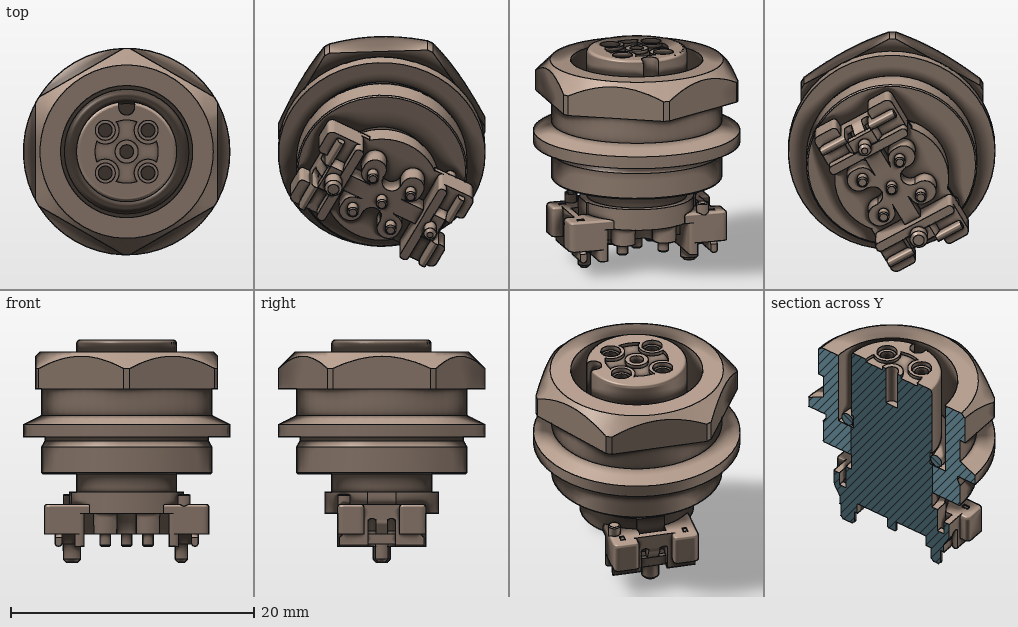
import cadquery as cq
import math

TOTAL_HEIGHT = 18.3
NUT_TOP = 17.31
NUT_BOTTOM = 14.27
FLANGE_CONE_TOP = 12.08
FLANGE_RIM_TOP = 11.33
FLANGE_BOTTOM = 10.32
NECK_BOTTOM = 10.0
COLLAR_TOP = 9.5
HOUSING_BOTTOM = 7.28
BASE_TOP = 5.78
BASE_BOTTOM = 4.03
BLOCK_TOP = 4.78
BLOCK_BOTTOM = 2.32
FOOT_BOTTOM = 1.32

NUT_ACROSS_FLATS = 14.97
FLANGE_DIAMETER = 17.0
FLANGE_RADIUS = FLANGE_DIAMETER / 2
NUT_CHAMFER = 1.37
BODY_RADIUS = 7.0
NECK_RADIUS = 6.72
BODY_CHAMFER = 0.11
SOCKET_RADIUS = 5.44
SOCKET_FLOOR = FLANGE_BOTTOM

INSERT_RADIUS = 4.12
INSERT_TOP_ROUND = 0.33
BASE_RADIUS = 4.68
BASE_FLAT_WIDTH = 2.35
KEY_RADIUS = 0.65
KEY_CENTER_Y = 3.66
CONTACT_OFFSET = 1.75
CONTACT_HOLE_RADIUS = 0.57
CONTACT_HOLE_DEPTH = 3.66
COUNTERBORE_RADIUS = 0.82
COUNTERBORE_DEPTH = 0.4
FACE_RECESS_RADIUS = 2.6
FACE_RECESS_DEPTH = 0.3
OUTER_BOSS_RADIUS = 1.13
CENTER_BOSS_RADIUS = 0.95
PILLAR_TOP_RADIUS = 0.97
PILLAR_STRETCH = 0.37
PILLAR_TAPER = 1.2
CONTACT_PIN_RADIUS = 0.44
CONTACT_PIN_CHAMFER = 0.11
WEB_WIDTH = 1.46
SCALLOP_RADIUS = CONTACT_OFFSET - PILLAR_TOP_RADIUS

BRACKET_WIDTH = 7.25
BLOCK_OUTER_X = -6.77
BLOCK_INNER_X = -3.04
BLOCK_CORNER_ROUND = 0.5
BLOCK_RECESS_ROUND = 0.35
BLOCK_TOP_ROUND = 0.25
RECESS_WIDTH = 2.93
PLATE_OUTER_X = -5.9
PLATE_INNER_X = -5.33
PLATE_WIDTH = 6.92
PLATE_TIP_ROUND = 0.27
PLATE_CORNER_CHAMFER = 0.27
INNER_WALL_OUTER_X = -4.25
INNER_WALL_INNER_X = -3.5
INNER_WALL_ROUND = 0.31
SLOT_WIDTH = 2.23
SLOT_TOP = 3.6
SLOT_ROUND = 0.27
PAD_BOTTOM = 1.5
PAD_FLANK_RUN = 0.42
PAD_LEDGE = 0.25
RIB_WIDTH = 0.95
RIB_TOP = 3.51
RIB_BEND_Z = 3.02
RIB_BEND_DEPTH = 0.16
RIB_ARC_RADIUS = 0.92
DIMPLE_LENGTH = 0.55
DIMPLE_WIDTH = 0.35
DIMPLE_DEPTH = 0.1
DIMPLE_Y = 2.65
PEG_X = 4.5
LEFT_PEG_RADIUS = 0.71
RIGHT_PEG_RADIUS = 0.51
PEG_CHAMFER = 0.25
POST_X = -4.72
POST_Y = 3.11
POST_RADIUS = 0.5
POST_TOP = 5.6
POST_CHAMFER = 0.1

RING_SECTION_RADIUS = 0.59
RING_INNER_RADIUS = 3.95
RING_RADIUS = RING_INNER_RADIUS + RING_SECTION_RADIUS
RING_TOP = SOCKET_FLOOR + 2 * RING_SECTION_RADIUS

OUTER_CONTACTS = [(sx * CONTACT_OFFSET, sy * CONTACT_OFFSET) for sx in (-1, 1) for sy in (-1, 1)]
ALL_CONTACTS = OUTER_CONTACTS + [(0, 0)]


def box(x0, x1, y0, y1, z0, z1):
    """Box between two opposite corners."""
    return cq.Workplane("XY").box(x1 - x0, y1 - y0, z1 - z0, centered=False).translate((x0, y0, z0))


def cylinders(points, radius, z0, z1):
    """Upright cylinders at the given points."""
    return cq.Workplane("XY").workplane(offset=z0).pushPoints(points).circle(radius).extrude(z1 - z0)


def revolved(profile):
    """Solid of revolution about Z from (radius, height) points."""
    return cq.Workplane("XZ").polyline(profile).close().revolve(360, (0, 0), (0, 1))


def make_nut_head():
    """Hexagonal head, flats facing +X and -X, with turned corners and a chamfered top."""
    hexagon = (
        cq.Workplane("XY")
        .workplane(offset=NUT_BOTTOM)
        .transformed(rotate=(0, 0, 30))
        .polygon(6, NUT_ACROSS_FLATS / math.cos(math.pi / 6))
        .extrude(NUT_TOP - NUT_BOTTOM)
    )
    turned = cylinders([(0, 0)], FLANGE_RADIUS, NUT_BOTTOM, NUT_TOP).faces(">Z").chamfer(NUT_CHAMFER)
    return hexagon.intersect(turned)


def make_housing():
    """Hexagonal head, threaded body, sealing flange and lower collar around a stepped bore."""
    body = revolved([
        (0, HOUSING_BOTTOM),
        (BODY_RADIUS - BODY_CHAMFER, HOUSING_BOTTOM),
        (BODY_RADIUS, HOUSING_BOTTOM + BODY_CHAMFER),
        (BODY_RADIUS, COLLAR_TOP),
        (NECK_RADIUS, NECK_BOTTOM),
        (NECK_RADIUS, FLANGE_BOTTOM),
        (FLANGE_RADIUS, FLANGE_BOTTOM),
        (FLANGE_RADIUS, FLANGE_RIM_TOP),
        (BODY_RADIUS, FLANGE_CONE_TOP),
        (BODY_RADIUS, NUT_BOTTOM),
        (0, NUT_BOTTOM),
    ])
    socket = cylinders([(0, 0)], SOCKET_RADIUS, SOCKET_FLOOR, NUT_TOP)
    insert_bore = cylinders([(0, 0)], INSERT_RADIUS, HOUSING_BOTTOM, SOCKET_FLOOR)
    return body.union(make_nut_head()).cut(socket).cut(insert_bore)


def make_sealing_ring():
    """Round-section ring lying on the socket floor, in the groove of the insert."""
    return (
        cq.Workplane("XZ")
        .center(RING_RADIUS, SOCKET_FLOOR + RING_SECTION_RADIUS)
        .circle(RING_SECTION_RADIUS)
        .revolve(360, (-RING_RADIUS, 0), (-RING_RADIUS, 1))
    )


def make_contact_core():
    """Round insert core with its base flange, ring groove, coding notch and socket face."""
    core = cylinders([(0, 0)], INSERT_RADIUS, BASE_BOTTOM, TOTAL_HEIGHT)
    core = core.faces(">Z").edges().fillet(INSERT_TOP_ROUND)
    base = cylinders([(0, 0)], BASE_RADIUS, BASE_BOTTOM, BASE_TOP)
    half_flat = BASE_FLAT_WIDTH / 2
    flats = box(-BASE_RADIUS, BASE_RADIUS, -half_flat, half_flat, BASE_BOTTOM, BASE_TOP)
    core = core.union(base).union(flats)

    ring_groove = (
        cylinders([(0, 0)], SOCKET_RADIUS, SOCKET_FLOOR, RING_TOP)
        .cut(cylinders([(0, 0)], RING_INNER_RADIUS, SOCKET_FLOOR, RING_TOP))
    )
    core = core.cut(ring_groove)

    notch = cylinders([(0, KEY_CENTER_Y)], KEY_RADIUS, RING_TOP, TOTAL_HEIGHT)
    notch_mouth = box(-KEY_RADIUS, KEY_RADIUS, KEY_CENTER_Y, BASE_RADIUS, RING_TOP, TOTAL_HEIGHT)
    core = core.cut(notch).cut(notch_mouth)

    recess_floor = TOTAL_HEIGHT - FACE_RECESS_DEPTH
    recess = (
        cylinders([(0, 0)], FACE_RECESS_RADIUS, recess_floor, TOTAL_HEIGHT)
        .cut(cylinders(OUTER_CONTACTS, OUTER_BOSS_RADIUS, recess_floor, TOTAL_HEIGHT))
        .cut(cylinders([(0, 0)], CENTER_BOSS_RADIUS, recess_floor, TOTAL_HEIGHT))
    )
    hole_bottom = TOTAL_HEIGHT - CONTACT_HOLE_DEPTH
    holes = cylinders(ALL_CONTACTS, CONTACT_HOLE_RADIUS, hole_bottom, TOTAL_HEIGHT)
    counterbore_floor = TOTAL_HEIGHT - COUNTERBORE_DEPTH
    counterbores = cylinders(OUTER_CONTACTS, COUNTERBORE_RADIUS, counterbore_floor, TOTAL_HEIGHT)
    return core.cut(recess).cut(holes).cut(counterbores)


def make_tail_core():
    """Square core between the outer pillars, scalloped on each side where it runs into them."""
    half_core = CONTACT_OFFSET
    core = box(-half_core, half_core, -half_core, half_core, BLOCK_BOTTOM, BASE_BOTTOM)
    scallop_centers = [(CONTACT_OFFSET, 0), (-CONTACT_OFFSET, 0), (0, CONTACT_OFFSET), (0, -CONTACT_OFFSET)]
    return core.cut(cylinders(scallop_centers, SCALLOP_RADIUS, BLOCK_BOTTOM, BASE_BOTTOM))


def make_pillar(x, y):
    """Tapered pillar below the base, stretched away from the X axis."""
    stretch = math.copysign(PILLAR_STRETCH, y)
    return (
        cq.Workplane("XY")
        .workplane(offset=BASE_BOTTOM)
        .center(x, y + stretch / 2)
        .slot2D(2 * PILLAR_TOP_RADIUS + PILLAR_STRETCH, 2 * PILLAR_TOP_RADIUS, 90)
        .extrude(BLOCK_BOTTOM - BASE_BOTTOM, taper=PILLAR_TAPER)
    )


def make_contact_pin(x, y):
    """Solder pin with a chamfered tip."""
    pin = cylinders([(x, y)], CONTACT_PIN_RADIUS, FOOT_BOTTOM, BLOCK_BOTTOM)
    return pin.faces("<Z").chamfer(CONTACT_PIN_CHAMFER)


def make_corner_block():
    """Rounded block at the outer +Y corner of a bracket."""
    block = box(BLOCK_OUTER_X, PLATE_INNER_X, RECESS_WIDTH / 2, BRACKET_WIDTH / 2, BLOCK_BOTTOM, BLOCK_TOP)
    block = block.edges("|Z and <X and >Y").fillet(BLOCK_CORNER_ROUND)
    block = block.edges("|Z and <Y").edges("<X").fillet(BLOCK_RECESS_ROUND)
    return block.faces(">Z").edges("not >X").fillet(BLOCK_TOP_ROUND)


def make_bracket_shell():
    """Bracket block joined to the base, with its two corner blocks."""
    half_width = BRACKET_WIDTH / 2
    upper = box(PLATE_OUTER_X, BLOCK_INNER_X, -half_width, half_width, BASE_BOTTOM, BLOCK_TOP)
    upper = upper.faces(">Z").edges("|X").fillet(BLOCK_TOP_ROUND)
    lower = box(PLATE_OUTER_X, INNER_WALL_OUTER_X + INNER_WALL_ROUND, -half_width, half_width,
                BLOCK_BOTTOM, BASE_BOTTOM)
    corner = make_corner_block()
    return upper.union(lower).union(corner).union(corner.mirror("XZ"))


def make_outer_plate():
    """Lower edge of the outer plate: round tip below and chamfered upper corners."""
    half_width = PLATE_WIDTH / 2
    plate = box(PLATE_OUTER_X, PLATE_INNER_X, -half_width, half_width, FOOT_BOTTOM, BLOCK_BOTTOM)
    plate = plate.faces(">Z").edges("|X").chamfer(PLATE_CORNER_CHAMFER)
    return plate.faces("<Z").edges("|Y").fillet(PLATE_TIP_ROUND)


def make_inner_wall():
    """Wall facing the contacts, with rounded upright edges."""
    half_width = BRACKET_WIDTH / 2
    wall = box(INNER_WALL_OUTER_X, INNER_WALL_INNER_X, -half_width, half_width, FOOT_BOTTOM, BASE_BOTTOM)
    return wall.edges("|Z").fillet(INNER_WALL_ROUND)


def make_pad():
    """Pad carrying the peg, with steep flanks widening up to the block on both sides."""
    half_width = SLOT_WIDTH / 2
    return (
        cq.Workplane("YZ")
        .workplane(offset=PLATE_INNER_X)
        .polyline([
            (-half_width, PAD_BOTTOM),
            (half_width, PAD_BOTTOM),
            (half_width + PAD_FLANK_RUN, BLOCK_BOTTOM),
            (-half_width - PAD_FLANK_RUN, BLOCK_BOTTOM),
        ])
        .close()
        .extrude(INNER_WALL_INNER_X - PLATE_INNER_X)
    )


def make_bracket_opening():
    """Pocket in front of the base flat, opened outward below a rib with a round-topped slot on each side."""
    half_width = SLOT_WIDTH / 2
    half_rib = RIB_WIDTH / 2
    pocket = box(PLATE_INNER_X, -BASE_RADIUS, -half_width, half_width, BLOCK_BOTTOM, BLOCK_TOP)
    side_slot = box(PLATE_OUTER_X, PLATE_INNER_X, half_rib, half_width, FOOT_BOTTOM, SLOT_TOP)
    side_slot = side_slot.faces(">Z").edges("|X").fillet(SLOT_ROUND)
    middle = box(PLATE_OUTER_X, PLATE_INNER_X, -half_rib, half_rib, FOOT_BOTTOM, RIB_TOP)
    return pocket.union(middle).union(side_slot).union(side_slot.mirror("XZ"))


def make_ledge():
    """Sloped ledge where the pocket floor meets its back wall."""
    wall_x = -BASE_RADIUS
    return (
        cq.Workplane("XZ")
        .polyline([
            (wall_x, BLOCK_BOTTOM),
            (wall_x - PAD_LEDGE, BLOCK_BOTTOM),
            (wall_x, BLOCK_BOTTOM + PAD_LEDGE),
        ])
        .close()
        .extrude(SLOT_WIDTH / 2, both=True)
    )


def make_rib():
    """Rib across the pocket whose outer face curls inward and slopes down to the pad."""
    return (
        cq.Workplane("XZ")
        .moveTo(-BASE_RADIUS, RIB_TOP)
        .lineTo(PLATE_OUTER_X, RIB_TOP)
        .radiusArc((PLATE_OUTER_X + RIB_BEND_DEPTH, RIB_BEND_Z), -RIB_ARC_RADIUS)
        .lineTo(PLATE_INNER_X, BLOCK_BOTTOM)
        .lineTo(-BASE_RADIUS, BLOCK_BOTTOM)
        .close()
        .extrude(RIB_WIDTH / 2, both=True)
    )


def make_bracket(peg_radius):
    """Complete bracket on the -X side with its locating peg, top post and shallow top recesses."""
    bracket = make_bracket_shell().union(make_outer_plate()).union(make_inner_wall())
    bracket = bracket.union(make_pad()).cut(make_bracket_opening()).union(make_ledge()).union(make_rib())
    peg = cylinders([(-PEG_X, 0)], peg_radius, 0, PAD_BOTTOM).faces("<Z").chamfer(PEG_CHAMFER)
    post = cylinders([(POST_X, POST_Y)], POST_RADIUS, BLOCK_BOTTOM, POST_TOP).faces(">Z").chamfer(POST_CHAMFER)
    dimples = (
        cq.Workplane("XY")
        .workplane(offset=BLOCK_TOP)
        .pushPoints([((PLATE_OUTER_X + PLATE_INNER_X) / 2, side * DIMPLE_Y) for side in (-1, 1)])
        .rect(DIMPLE_LENGTH, DIMPLE_WIDTH)
        .extrude(-DIMPLE_DEPTH)
    )
    return bracket.cut(dimples).union(peg).union(post)


def make_insert():
    """Contact insert with solder tails, a cross web and the two mounting brackets."""
    insert = make_contact_core()
    insert = insert.union(make_tail_core())
    for x, y in OUTER_CONTACTS:
        insert = insert.union(make_pillar(x, y))
    for x, y in ALL_CONTACTS:
        insert = insert.union(make_contact_pin(x, y))
    half_web = WEB_WIDTH / 2
    web = box(INNER_WALL_INNER_X, -INNER_WALL_INNER_X, -half_web, half_web, BLOCK_BOTTOM, BASE_BOTTOM)
    left_bracket = make_bracket(LEFT_PEG_RADIUS)
    right_bracket = make_bracket(RIGHT_PEG_RADIUS).rotate((0, 0, 0), (0, 0, 1), 180)
    return insert.union(web).union(left_bracket).union(right_bracket)


housing = make_housing()
sealing_ring = make_sealing_ring()
insert = make_insert()

result = cq.Compound.makeCompound([housing.solids().val(), sealing_ring.solids().val(), insert.solids().val()])